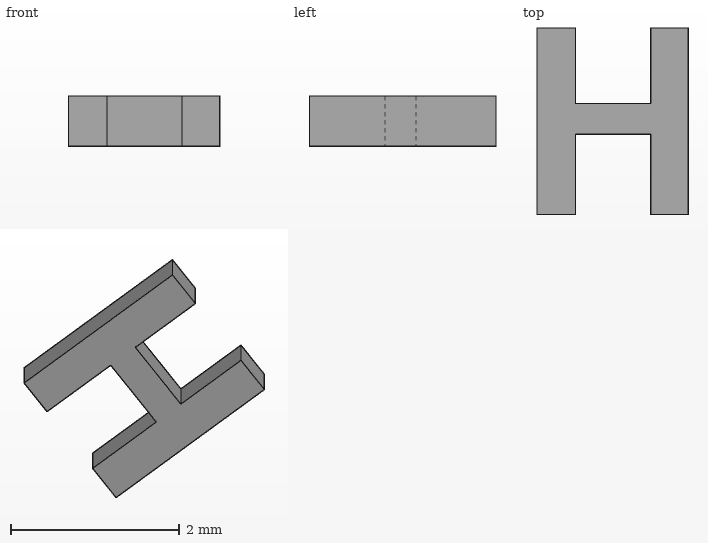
import cadquery as cq

width = 1.8
length = 2.22
height = 0.6

left_leg_width = 0.46
right_leg_width = 0.45
bar_thickness = 0.369
front_gap = 0.952


def block(x_start, y_start, x_size, y_size):
    """Full-height block with its front left corner at the given place."""
    return cq.Workplane("XY").box(x_size, y_size, height, centered=False).translate((x_start, y_start, 0))


left_leg = block(-width / 2, -length / 2, left_leg_width, length)
right_leg = block(width / 2 - right_leg_width, -length / 2, right_leg_width, length)

bar_length = width - left_leg_width - right_leg_width
crossbar = block(-width / 2 + left_leg_width, -length / 2 + front_gap, bar_length, bar_thickness)

result = left_leg.union(crossbar).union(right_leg).clean()